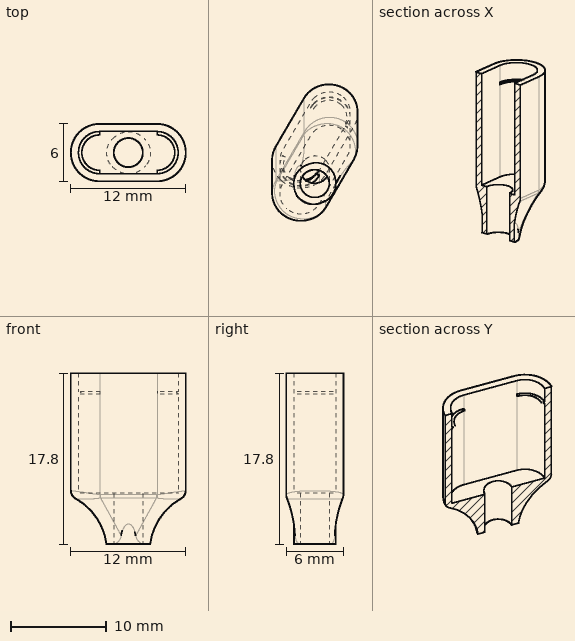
import cadquery as cq
import math

length = 12.0
width = length / 2
height = 17.8
end_radius = width / 2
half_straight = length / 2 - end_radius
body_base = 4.98
edge_round = 0.96

neck_radius = 2.19
flare_half_length = 2.3
flare_half_width = 2.03
flare_half_straight = 0.27
side_arc_radius = 6.4
face_arc_radius = 12.82
flare_steps = 6

wall = 0.8
floor_level = 5.34
hole_diameter = 3.0
lip_depth = 1.87
lip_thickness = 0.27
lip_reach = 0.35
lip_embed = 0.18


def concave_arc(z, bottom, top, radius):
    """Half size at height z on an inward-curving arc from the foot to the body."""
    rise = top - bottom
    chord = math.hypot(rise, body_base)
    center_offset = math.sqrt(radius**2 - (chord / 2) ** 2)
    center_x = (bottom + top) / 2 + center_offset * body_base / chord
    center_z = body_base / 2 - center_offset * rise / chord
    return center_x - math.sqrt(radius**2 - (z - center_z) ** 2)


def flare_section(z):
    """Closed outline with straight sides and elliptical ends."""
    half_length = concave_arc(z, flare_half_length, length / 2, side_arc_radius)
    half_width = concave_arc(z, flare_half_width, end_radius, face_arc_radius)
    straight = flare_half_straight + (half_straight - flare_half_straight) * z / body_base

    def end(x_sign):
        return cq.Edge.makeEllipse(
            half_length - straight,
            half_width,
            cq.Vector(x_sign * straight, 0, z),
            cq.Vector(0, 0, 1),
            cq.Vector(x_sign, 0, 0),
            -90,
            90,
        )

    def side(y_sign):
        y = y_sign * half_width
        return cq.Edge.makeLine(cq.Vector(-straight, y, z), cq.Vector(straight, y, z))

    return cq.Wire.assembleEdges([end(1), side(1), end(-1), side(-1)])


def slot_prism(slot_length, slot_width, bottom, top):
    return (
        cq.Workplane("XY")
        .workplane(offset=bottom)
        .slot2D(slot_length, slot_width)
        .extrude(top - bottom)
    )


levels = [body_base * step / flare_steps for step in range(flare_steps + 1)]
flare = cq.Workplane(cq.Solid.makeLoft([flare_section(z) for z in levels]))
body = slot_prism(length, width, body_base, height)
pick_margin = 0.02
shoulder = cq.selectors.BoxSelector(
    (-length, -width, body_base - pick_margin), (length, width, body_base + pick_margin)
)
outer = body.union(flare).edges(shoulder).fillet(edge_round)
neck = cq.Workplane("XY").circle(neck_radius).extrude(body_base)
outer = outer.union(neck)

cavity_length = length - 2 * wall
cavity_width = width - 2 * wall
cavity = slot_prism(cavity_length, cavity_width, floor_level, height)
hole = cq.Workplane("XY").circle(hole_diameter / 2).extrude(height)

lip_top = height - lip_depth
inner_radius = cavity_width / 2
lip_profile = [
    (inner_radius - lip_reach, lip_top),
    (inner_radius + lip_embed, lip_top),
    (inner_radius + lip_embed, lip_top - lip_thickness),
    (inner_radius, lip_top - lip_thickness),
]
right_lip = (
    cq.Workplane("XZ")
    .polyline(lip_profile)
    .close()
    .revolve(180, (0, 0, 0), (0, 1, 0))
    .rotate((0, 0, 0), (0, 0, 1), -90)
    .translate((half_straight, 0, 0))
)
left_lip = right_lip.mirror("YZ")

result = outer.cut(cavity).cut(hole).union(right_lip).union(left_lip)